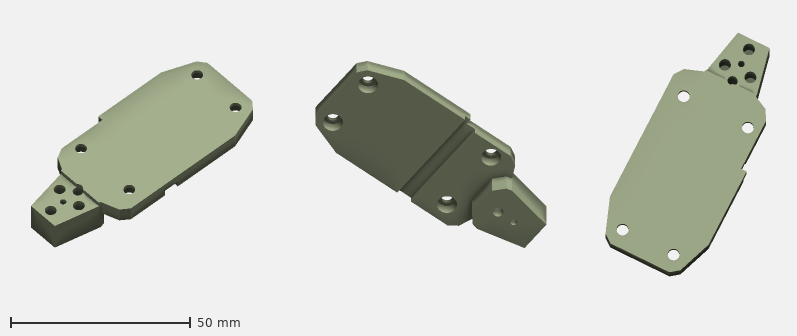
import cadquery as cq

length = 70.5
half_width = 15.41
height = 10.9
plate_thickness = 4.7
plate_bottom = height - plate_thickness

tail_end_half_width = 4.95
neck_half_width = 8.05
neck_y = 14.5
tail_recess = 1.5
tail_top = height - tail_recess
recess_end_y = 13.95

block_side_half_width = 7.6
block_side_y = 16.2
block_back_half_width = 4.6
block_back_y = 18.9

side_step_x = -13.7
side_step_y = 34.9
front_left_corner_y = 19.45
front_right_corner_y = 19.2
shoulder_y = 16.5
left_shoulder_x = -12.0
right_shoulder_x = 13.55
back_taper_y = 58.5
back_corner_half_width = 11.7
back_corner_y = 68.6
back_half_width = 9.25

channel_front_y = 32.1
channel_width = 4.8
channel_depth = 2.0

screw_diameter = 3.3
screw_head_diameter = 5.6
screw_skin = 1.2
screw_centers = [(-8.0, 65.45), (8.0, 65.45), (-10.0, 23.5), (10.0, 23.5)]
neck_hole_diameter = 2.9
neck_hole_center = (0, 13.2)
pin_hole_diameter = 1.8
pin_hole_center = (0, 7.6)
socket_diameter = 3.3
socket_depth = 7.1
socket_centers = [(-3.985, 9.95), (3.985, 9.95), (0, 2.95)]


def prism(points, bottom, top):
    """Extrude a closed outline between two heights."""
    return cq.Workplane("XY").workplane(offset=bottom).polyline(points).close().extrude(top - bottom)


def cylinders(centers, diameter, bottom, top):
    """Vertical cylinders used to cut holes."""
    plane = cq.Workplane("XY").workplane(offset=bottom)
    return plane.pushPoints(centers).circle(diameter / 2).extrude(top - bottom)


def make_plate():
    outline = [
        (-neck_half_width, neck_y),
        (left_shoulder_x, shoulder_y),
        (side_step_x, front_left_corner_y),
        (side_step_x, side_step_y),
        (-half_width, side_step_y),
        (-half_width, back_taper_y),
        (-back_corner_half_width, back_corner_y),
        (-back_half_width, length),
        (back_half_width, length),
        (back_corner_half_width, back_corner_y),
        (half_width, back_taper_y),
        (half_width, front_right_corner_y),
        (right_shoulder_x, shoulder_y),
        (neck_half_width, neck_y),
    ]
    return prism(outline, plate_bottom, height)


def make_block():
    right_side = [
        (tail_end_half_width, 0),
        (neck_half_width, neck_y),
        (block_side_half_width, block_side_y),
        (block_back_half_width, block_back_y),
    ]
    left_side = [(-x, y) for x, y in reversed(right_side)]
    return prism(right_side + left_side, 0, height)


def make_tail_recess():
    corners = [
        (-half_width, 0),
        (half_width, 0),
        (half_width, recess_end_y),
        (-half_width, recess_end_y),
    ]
    return prism(corners, tail_top, height)


def make_channel():
    channel_back_y = channel_front_y + channel_width
    corners = [
        (-half_width, channel_front_y),
        (half_width, channel_front_y),
        (half_width, channel_back_y),
        (-half_width, channel_back_y),
    ]
    return prism(corners, plate_bottom, plate_bottom + channel_depth)


result = make_plate().union(make_block())
result = result.cut(make_tail_recess())
result = result.cut(make_channel())

result = result.cut(cylinders(screw_centers, screw_diameter, 0, height))
result = result.cut(cylinders(screw_centers, screw_head_diameter, plate_bottom, height - screw_skin))
result = result.cut(cylinders([neck_hole_center], neck_hole_diameter, 0, height))
result = result.cut(cylinders([pin_hole_center], pin_hole_diameter, 0, height))
result = result.cut(cylinders(socket_centers, socket_diameter, tail_top - socket_depth, tail_top))